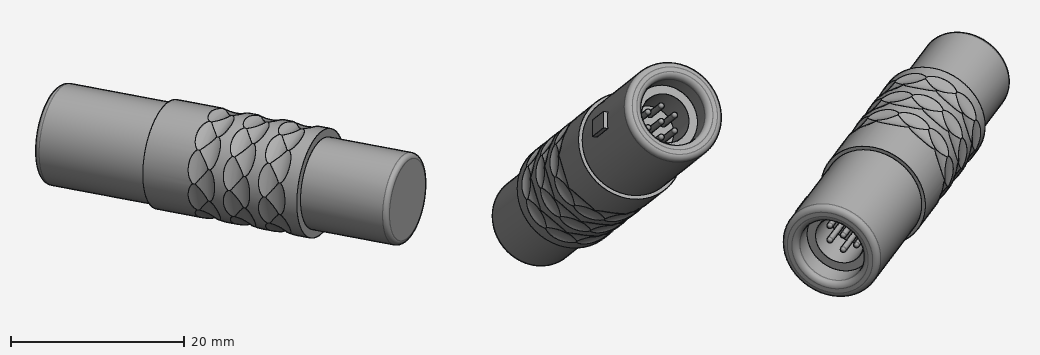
import cadquery as cq
import math

LENGTH = 45.0
SHELL_RADIUS = 6.0
SLEEVE_RADIUS = 6.45
REAR_RADIUS = 5.45
SLEEVE_START = 14.2
SLEEVE_END = 33.9
FRONT_FILLET = 0.72
REAR_FILLET = 0.6

BORE_RADIUS = 4.0
BORE_DEPTH = 3.1
CAVITY_RADIUS = 2.95
CAVITY_DEPTH = 8.0

PIN_RADIUS = 0.35
PIN_CIRCLE_RADIUS = 1.9
OUTER_PIN_COUNT = 6
PIN_TIP = 4.0

KEY_START = 6.15
KEY_LENGTH = 3.5
KEY_WIDTH = 2.0
KEY_TOP = 6.49
KEY_EMBED = 0.5
KEY_ROOT = SHELL_RADIUS - KEY_EMBED

BAND_COUNT = 3
BAND_PITCH = 4.5
FIRST_ROW_X = 21.18
ROW_OFFSET = 0.9
SCALLOPS_PER_ROW = 10
SCALLOP_RADIUS = 2.35
SCALLOP_DEPTH = 0.39
CUTTER_LENGTH = SLEEVE_RADIUS


def cylinder_x(radius, start, end):
    """Solid cylinder on the X axis between two X positions."""
    return cq.Workplane("YZ").workplane(offset=start).circle(radius).extrude(end - start)


def make_body():
    """Shell with its stepped socket, grip sleeve and rear barrel."""
    shell = cylinder_x(SHELL_RADIUS, 0, SLEEVE_START)
    sleeve = cylinder_x(SLEEVE_RADIUS, SLEEVE_START, SLEEVE_END)
    rear = cylinder_x(REAR_RADIUS, SLEEVE_END, LENGTH).faces(">X").edges().fillet(REAR_FILLET)
    shell = shell.cut(cylinder_x(BORE_RADIUS, 0, BORE_DEPTH))
    shell = shell.faces("<X").edges().fillet(FRONT_FILLET)
    shell = shell.cut(cylinder_x(CAVITY_RADIUS, BORE_DEPTH, CAVITY_DEPTH))
    return shell.union(sleeve).union(rear)


def make_key():
    """Flat-topped bar let into the shell."""
    height = KEY_TOP - KEY_ROOT
    return cq.Workplane("XY").box(KEY_LENGTH, height, KEY_WIDTH).translate(
        (KEY_START + KEY_LENGTH / 2, KEY_ROOT + height / 2, 0)
    )


def make_pin(y, z):
    """Round-nosed pin rooted in the cavity floor."""
    nose_center = PIN_TIP + PIN_RADIUS
    shank = cylinder_x(PIN_RADIUS, nose_center, CAVITY_DEPTH)
    nose = cq.Workplane("XY").sphere(PIN_RADIUS).translate((nose_center, 0, 0))
    return shank.union(nose).translate((0, y, z))


def pin_positions():
    positions = [(0, 0)]
    for index in range(OUTER_PIN_COUNT):
        angle = math.radians(90 + index * 360 / OUTER_PIN_COUNT)
        positions.append((PIN_CIRCLE_RADIUS * math.cos(angle), PIN_CIRCLE_RADIUS * math.sin(angle)))
    return positions


def make_scallop_row(row_x, start_angle):
    """Cylinders lying crosswise over the sleeve, spaced evenly around it."""
    axis_height = SLEEVE_RADIUS - SCALLOP_DEPTH + SCALLOP_RADIUS
    cutter = (
        cq.Workplane("XZ")
        .center(row_x, axis_height)
        .circle(SCALLOP_RADIUS)
        .extrude(CUTTER_LENGTH / 2, both=True)
    )
    step = 360 / SCALLOPS_PER_ROW
    return [
        cutter.rotate((0, 0, 0), (1, 0, 0), start_angle + index * step)
        for index in range(SCALLOPS_PER_ROW)
    ]


def cut_grip(body):
    half_step = 180 / SCALLOPS_PER_ROW
    for band in range(BAND_COUNT):
        row_x = FIRST_ROW_X + band * BAND_PITCH
        cutters = make_scallop_row(row_x, 0) + make_scallop_row(row_x + ROW_OFFSET, half_step)
        for cutter in cutters:
            body = body.cut(cutter)
    return body


result = cut_grip(make_body()).union(make_key())
for pin_y, pin_z in pin_positions():
    result = result.union(make_pin(pin_y, pin_z))